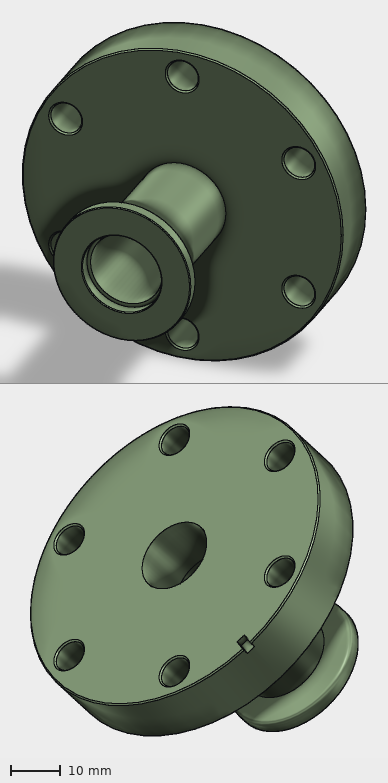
import cadquery as cq
import math

total_length = 45.0

flange_diameter = 70.0
flange_thickness = 12.7
flange_chamfer = 0.3
bolt_count = 6
bolt_circle_diameter = 58.7
bolt_hole_diameter = 6.7
bolt_hole_chamfer = 0.35
first_bolt_angle = 90.0

groove_width = 2.0
groove_depth = 1.5
groove_length = 3.0
groove_angle = 240.0

tube_diameter = 19.05
bore_diameter = 15.6
lip_diameter = 30.0
lip_edge_width = 3.0
lip_taper_angle = 15.0
lip_fillet = 1.0
lip_chamfer = 0.2
recess_diameter = 17.2
recess_depth = 2.5
recess_chamfer = 0.2

lip_face_y = -total_length / 2
flange_rear_y = total_length / 2
flange_front_y = flange_rear_y - flange_thickness


def cylinder(diameter, y_start, y_end):
    """Cylinder on the Y axis between two stations."""
    plane = cq.Workplane("XZ", origin=(0, y_end, 0))
    return plane.circle(diameter / 2).extrude(y_end - y_start)


def leak_check_groove():
    """Radial slot cutter, laid along +X and then turned to its angle."""
    rim_radius = flange_diameter / 2
    slot = cq.Workplane("XY").box(
        2 * groove_length, 2 * groove_depth, groove_width
    ).translate((rim_radius, flange_rear_y, 0))
    return slot.rotate((0, 0, 0), (0, -1, 0), groove_angle)


def bolt_hole(angle):
    """Through hole cutter with a countersunk mouth at both flange faces."""
    bolt_radius = bolt_circle_diameter / 2
    hole_radius = bolt_hole_diameter / 2
    mouth_radius = hole_radius + bolt_hole_chamfer
    profile = [
        (0, flange_front_y),
        (mouth_radius, flange_front_y),
        (hole_radius, flange_front_y + bolt_hole_chamfer),
        (hole_radius, flange_rear_y - bolt_hole_chamfer),
        (mouth_radius, flange_rear_y),
        (0, flange_rear_y),
    ]
    cutter = cq.Workplane("XY").polyline(profile).close().revolve(360, (0, 0, 0), (0, 1, 0))
    x = bolt_radius * math.cos(math.radians(angle))
    z = bolt_radius * math.sin(math.radians(angle))
    return cutter.translate((x, 0, z))


def make_flange():
    """Chamfered disc with the central bore, bolt holes and leak-check groove."""
    disc = cylinder(flange_diameter, flange_front_y, flange_rear_y)
    flange = disc.edges().chamfer(flange_chamfer)
    flange = flange.cut(cylinder(bore_diameter, flange_front_y, flange_rear_y))
    for i in range(bolt_count):
        flange = flange.cut(bolt_hole(first_bolt_angle + i * 360.0 / bolt_count))
    return flange.cut(leak_check_groove())


def make_nipple():
    """Revolved tube and tapered clamp lip, butted against the flange's front face."""
    tube_radius = tube_diameter / 2
    bore_radius = bore_diameter / 2
    lip_radius = lip_diameter / 2
    recess_radius = recess_diameter / 2
    taper = math.radians(lip_taper_angle)

    rim_y = lip_face_y + lip_edge_width
    taper_end_y = rim_y + (lip_radius - tube_radius) * math.tan(taper)
    tangent_length = lip_fillet * math.tan((math.pi / 2 - taper) / 2)
    fillet_start_y = rim_y - tangent_length
    fillet_center_x = lip_radius - lip_fillet
    middle_angle = (math.pi / 2 - taper) / 2
    fillet_middle = (
        fillet_center_x + lip_fillet * math.cos(middle_angle),
        fillet_start_y + lip_fillet * math.sin(middle_angle),
    )
    fillet_end = (
        lip_radius - tangent_length * math.cos(taper),
        rim_y + tangent_length * math.sin(taper),
    )

    profile = (
        cq.Workplane("XY")
        .moveTo(recess_radius + recess_chamfer, lip_face_y)
        .lineTo(lip_radius - lip_chamfer, lip_face_y)
        .lineTo(lip_radius, lip_face_y + lip_chamfer)
        .lineTo(lip_radius, fillet_start_y)
        .threePointArc(fillet_middle, fillet_end)
        .lineTo(tube_radius, taper_end_y)
        .lineTo(tube_radius, flange_front_y)
        .lineTo(bore_radius, flange_front_y)
        .lineTo(bore_radius, lip_face_y + recess_depth)
        .lineTo(recess_radius, lip_face_y + recess_depth)
        .lineTo(recess_radius, lip_face_y + recess_chamfer)
        .close()
    )
    return profile.revolve(360, (0, 0, 0), (0, 1, 0))


flange = make_flange()
nipple = make_nipple()

result = cq.Compound.makeCompound([flange.val(), nipple.val()])